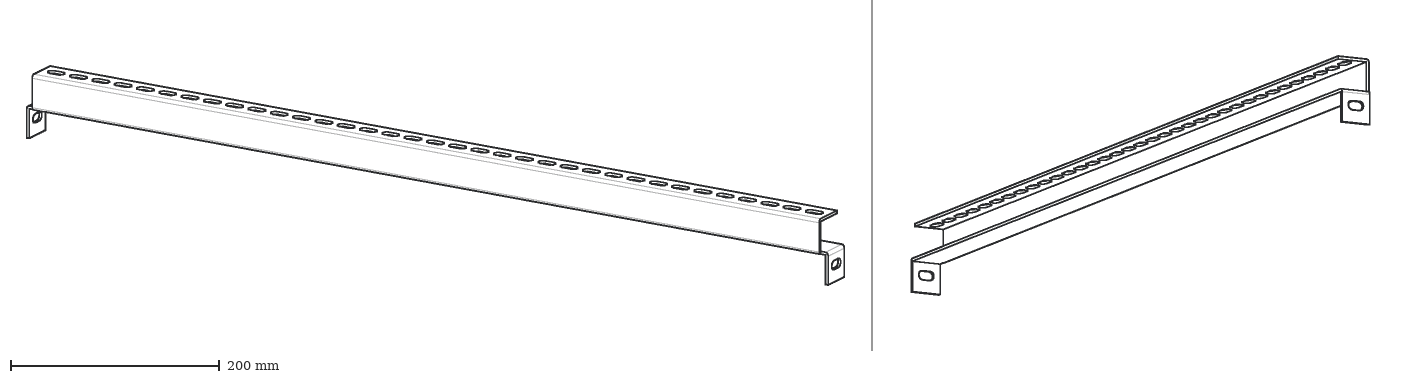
import cadquery as cq

total_length = 898.5
depth = 33.0
total_height = 66.0

thickness = 3.0
outer_radius = 3.2

channel_height = 36.0
channel_length = 882.0
channel_bottom = total_height - channel_height

slot_count = 35
slot_row_length = 850.0
slot_pitch = slot_row_length / (slot_count - 1)
slot_length = 18.0
slot_width = 9.0
slot_y = 18.0

tab_width = depth - outer_radius
tab_center_y = depth - tab_width / 2
tab_slot_length = 16.0
tab_slot_width = 9.0
tab_slot_z = 17.0


def make_channel():
    """C-shaped section with rounded outer fold edges, centred along X."""
    section_center = (depth / 2, channel_bottom + channel_height / 2)
    outside = (
        cq.Workplane("YZ", origin=(-channel_length / 2, 0, 0))
        .center(*section_center)
        .rect(depth, channel_height)
        .extrude(channel_length)
        .edges("|X and <Y")
        .fillet(outer_radius)
    )
    inside = (
        cq.Workplane("YZ", origin=(-channel_length / 2, 0, 0))
        .center(section_center[0] + thickness, section_center[1])
        .rect(depth, channel_height - 2 * thickness)
        .extrude(channel_length)
    )
    return outside.cut(inside)


def make_end_tabs():
    """Lower flange strip running past the channel and folded down at both ends."""
    strip_top = channel_bottom + thickness
    outside = (
        cq.Workplane("XY")
        .box(total_length, tab_width, strip_top, centered=(True, True, False))
        .edges("|Y and >Z")
        .fillet(outer_radius)
    )
    inside = (
        cq.Workplane("XY")
        .box(total_length - 2 * thickness, tab_width, channel_bottom, centered=(True, True, False))
    )
    return outside.cut(inside).translate((0, tab_center_y, 0))


def make_flange_slots():
    """Cutters for the slots in the top flange."""
    return (
        cq.Workplane("XY", origin=(0, slot_y, total_height - thickness))
        .rarray(slot_pitch, 9, slot_count, 1)
        .slot2D(slot_length, slot_width)
        .extrude(thickness)
    )


def make_tab_slots():
    """Cutter running the full length to pierce both end tabs."""
    return (
        cq.Workplane("YZ", origin=(-total_length / 2, tab_center_y, tab_slot_z))
        .slot2D(tab_slot_length, tab_slot_width)
        .extrude(total_length)
    )


result = make_channel().union(make_end_tabs()).cut(make_flange_slots()).cut(make_tab_slots())